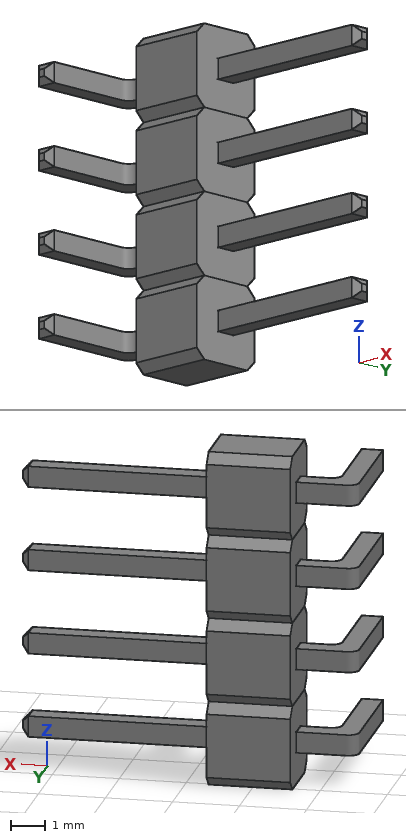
import cadquery as cq


cell_count = 4
column_height = 10.16
pitch = column_height / cell_count

housing_length = 2.5
housing_depth = 2.4
housing_chamfer = 0.3

pin_size = pitch / 4
pin_length = 10.02
pin_back_overhang = 1.82
overall_depth = 4.81
bend_radius = pin_size / 2
tip_chamfer = 0.2

pin_back_x = -pin_back_overhang
pin_front_x = pin_back_x + pin_length
short_leg_tip_y = housing_depth / 2 - overall_depth


def make_housing(center_z):
    """Block with its four long edges chamfered and a square through-hole for the pin."""
    block = (
        cq.Workplane("YZ")
        .center(0, center_z)
        .rect(housing_depth, pitch)
        .extrude(housing_length)
        .edges("|X")
        .chamfer(housing_chamfer)
    )
    pin_hole = cq.Workplane("YZ").center(0, center_z).rect(pin_size, pin_size).extrude(housing_length)
    return block.cut(pin_hole).solids()


def make_pin(center_z):
    """L-shaped square pin, rounded inside and outside the bend, with both tips chamfered."""
    half_size = pin_size / 2
    inner_corner_x = pin_back_x + pin_size
    pin = (
        cq.Workplane("XY", origin=(0, 0, center_z - half_size))
        .moveTo(pin_front_x, half_size)
        .lineTo(pin_back_x, half_size)
        .lineTo(pin_back_x, short_leg_tip_y)
        .lineTo(inner_corner_x, short_leg_tip_y)
        .lineTo(inner_corner_x, -half_size)
        .lineTo(pin_front_x, -half_size)
        .close()
        .extrude(pin_size)
    )
    outer_bend_edge = cq.selectors.NearestToPointSelector((pin_back_x, half_size, center_z))
    inner_bend_edge = cq.selectors.NearestToPointSelector((inner_corner_x, -half_size, center_z))
    pin = pin.edges(outer_bend_edge + inner_bend_edge).fillet(bend_radius)
    pin = pin.faces(">X").chamfer(tip_chamfer)
    return pin.faces("<Y").chamfer(tip_chamfer).solids()


cell_centers = [(index + 0.5) * pitch for index in range(cell_count)]
housings = [make_housing(center_z).val() for center_z in cell_centers]
pins = [make_pin(center_z).val() for center_z in cell_centers]

result = cq.Compound.makeCompound([*housings, *pins])